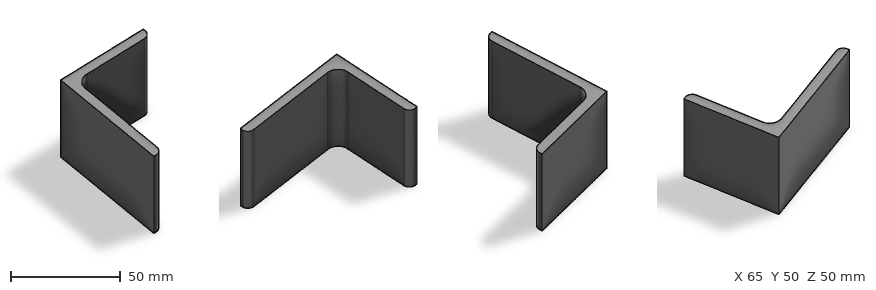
import cadquery as cq

long_leg = 65.0
short_leg = 50.0
height = 50.0
thickness = 5.0
root_radius = 6.5
toe_radius = 3.7

profile = (
    cq.Workplane("XY")
    .polyline([
        (0, 0),
        (long_leg, 0),
        (long_leg, thickness),
        (thickness, thickness),
        (thickness, short_leg),
        (0, short_leg),
    ])
    .close()
)
angle = profile.extrude(height)


def round_upright_edge(body, x, y, radius):
    """Fillet the vertical edge that passes through (x, y)."""
    edge = cq.selectors.NearestToPointSelector((x, y, height / 2))
    return body.edges("|Z").edges(edge).fillet(radius)


angle = round_upright_edge(angle, thickness, thickness, root_radius)
angle = round_upright_edge(angle, long_leg, thickness, toe_radius)
angle = round_upright_edge(angle, thickness, short_leg, toe_radius)

result = angle